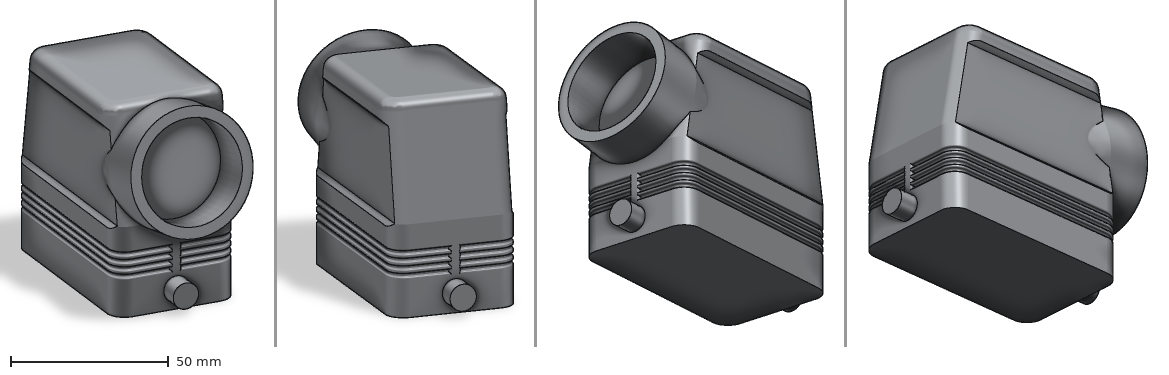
import cadquery as cq
import math

OVERALL_LENGTH = 95

BODY_LENGTH = 73.1
BODY_WIDTH = 43.0
BODY_HEIGHT = 70.0
TAPER_START = 30.8
TAPER_ANGLE = 10
CORNER_RADIUS = 6.1
TOP_RADIUS = 4.2

RECESS_DEPTH = 1.6
RECESS_BOTTOM = 29.4
RECESS_TOP = 63.2

GROOVE_COUNT = 4
GROOVE_BAND_CENTRE = 17.7
GROOVE_BAND_HEIGHT = 9.7
GROOVE_WIDTH = 1.2
GROOVE_DEPTH = 0.95
GROOVE_RADIUS = 0.46
GROOVE_GAP = 3.4

PIN_DIAMETER = 8.9
PIN_HEIGHT = 6.8
PIN_TIP_X = 43.4

ENTRY_DIAMETER = 43.0
ENTRY_BORE = 35.4
ENTRY_RIM_Z = 50.55
ENTRY_LENGTH = 16.2
NOSE_LENGTH = 11.4
NOSE_ANGLE = 11


def make_body():
    half_length = BODY_LENGTH / 2
    lean = (BODY_HEIGHT - TAPER_START) * math.tan(math.radians(TAPER_ANGLE))
    half_top = half_length - lean
    body = (
        cq.Workplane("XZ")
        .polyline([
            (-half_length, 0),
            (half_length, 0),
            (half_length, TAPER_START),
            (half_top, BODY_HEIGHT),
            (-half_top, BODY_HEIGHT),
            (-half_length, TAPER_START),
        ])
        .close()
        .extrude(BODY_WIDTH / 2, both=True)
    )
    upright_edges = body.faces("<Y or >Y").edges("not #Z")
    body = upright_edges.fillet(CORNER_RADIUS)
    return body.faces(">Z").edges().fillet(TOP_RADIUS)


def cut_side_recesses(body):
    outer = BODY_WIDTH / 2
    floor = outer - RECESS_DEPTH
    for side in (-1, 1):
        recess = (
            cq.Workplane("YZ")
            .polyline([
                (side * outer, RECESS_BOTTOM),
                (side * floor, RECESS_BOTTOM + RECESS_DEPTH),
                (side * floor, RECESS_TOP - RECESS_DEPTH),
                (side * outer, RECESS_TOP),
            ])
            .close()
            .extrude(BODY_LENGTH / 2, both=True)
        )
        body = body.cut(recess)
    return body


def rounded_slab(inset, height):
    return (
        cq.Workplane("XY")
        .box(BODY_LENGTH - 2 * inset, BODY_WIDTH - 2 * inset, height)
        .edges("|Z")
        .fillet(CORNER_RADIUS - inset)
    )


def make_groove_ring():
    """Two C-shaped cutters centred on Z = 0, one for each long side."""
    gap = cq.Workplane("XY").box(2 * BODY_LENGTH, GROOVE_GAP, GROOVE_WIDTH)
    core = rounded_slab(GROOVE_DEPTH, GROOVE_WIDTH).union(gap)
    return rounded_slab(0, GROOVE_WIDTH).cut(core)


def on_outer_wall(point):
    tolerance = 0.01
    on_end = abs(abs(point.x) - BODY_LENGTH / 2) < tolerance
    on_side = abs(abs(point.y) - BODY_WIDTH / 2) < tolerance
    return on_end or on_side


def groove_rim_edges(shape, at_wall):
    """Edges along the grooves and across their ends, at the outer wall or at the groove floor."""
    lowest = GROOVE_BAND_CENTRE - GROOVE_BAND_HEIGHT / 2
    highest = GROOVE_BAND_CENTRE + GROOVE_BAND_HEIGHT / 2
    chosen = []
    for edge in shape.edges().vals():
        start = edge.startPoint()
        end = edge.endPoint()
        in_band = lowest < edge.Center().z < highest
        level = abs(start.z - end.z) < GROOVE_WIDTH / 2
        at_gap = abs(start.y) < GROOVE_GAP
        same_depth = on_outer_wall(start) == at_wall and on_outer_wall(end) == at_wall
        if in_band and same_depth and (level or at_gap):
            chosen.append(edge)
    return shape.newObject(chosen)


def cut_grip_grooves(body):
    pitch = (GROOVE_BAND_HEIGHT - GROOVE_WIDTH - 2 * GROOVE_RADIUS) / (GROOVE_COUNT - 1)
    first = GROOVE_BAND_CENTRE - pitch * (GROOVE_COUNT - 1) / 2
    for index in range(GROOVE_COUNT):
        ring = make_groove_ring().translate((0, 0, first + index * pitch))
        ring = groove_rim_edges(ring, at_wall=False).fillet(GROOVE_RADIUS)
        body = body.cut(ring)
    return groove_rim_edges(body, at_wall=True).fillet(GROOVE_RADIUS)


def make_pins():
    return (
        cq.Workplane("YZ")
        .center(0, PIN_HEIGHT)
        .circle(PIN_DIAMETER / 2)
        .extrude(PIN_TIP_X, both=True)
    )


def entry_plane():
    """Plane of the entry rim, with its normal pointing into the body."""
    tilt = math.radians(TAPER_ANGLE)
    rim_x = OVERALL_LENGTH - PIN_TIP_X - ENTRY_DIAMETER / 2 * math.sin(tilt)
    return cq.Plane(
        origin=(rim_x, 0, ENTRY_RIM_Z),
        xDir=(0, 1, 0),
        normal=(-math.cos(tilt), 0, -math.sin(tilt)),
    )


def make_entry():
    tube = cq.Workplane(entry_plane()).circle(ENTRY_DIAMETER / 2).extrude(ENTRY_LENGTH)
    nose = (
        cq.Workplane(entry_plane())
        .workplane(offset=ENTRY_LENGTH)
        .circle(ENTRY_DIAMETER / 2)
        .extrude(NOSE_LENGTH, taper=NOSE_ANGLE)
    )
    return tube.union(nose)


def make_entry_bore():
    return cq.Workplane(entry_plane()).circle(ENTRY_BORE / 2).extrude(ENTRY_LENGTH)


hood = cut_side_recesses(make_body())
hood = cut_grip_grooves(hood)
hood = hood.union(make_pins()).union(make_entry())
result = hood.cut(make_entry_bore())